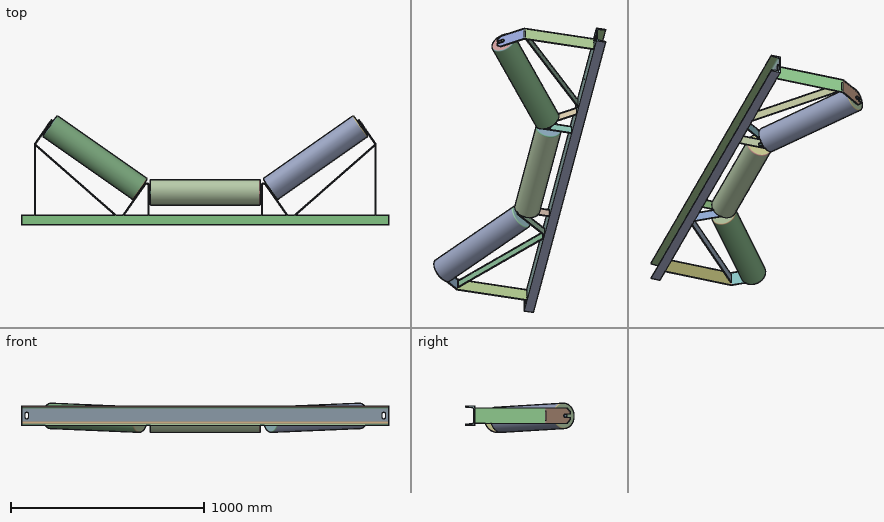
import cadquery as cq
import math


channel_length = 1900.0
channel_height = 100.0
channel_depth = 50.0
web_thickness = 5.0
flange_thickness = 8.5
flange_taper = 0.08
root_radius = 8.5
toe_radius = 4.0

slot_width = 17.0
slot_height = 35.0
slot_end_distance = 27.0

roller_radius = 66.0
roller_length = 570.0
roller_edge_radius = 4.8
axle_diameter = 17.0
centre_axis_y = 118.0
centre_axis_z = -20.0
wing_middle_x = 570.0
wing_middle_y = 298.0
trough_angle = 35.0
forward_tilt = 2.0
wing_axle_outer_overhang = 13.0
wing_axle_inner_overhang = 8.0
axle_slot_length = 76.0
axle_slot_reach = 27.0

plate_thickness = 5.0
outer_bracket_height = 80.0
inner_bracket_height = 50.0
bend_radius = 8.0
outer_post_x = 882.0
outer_bend_y = 367.0
outer_arm_length = 154.0
arm_corner_chamfer = 19.0
inner_post_x = 293.0
inner_foot_x = 424.0
brace_foot_x = 464.0
brace_thickness = 5.0
brace_height = 50.0

inner_bracket_middle_z = (inner_bracket_height - outer_bracket_height) / 2
outer_bend = cq.Vector(outer_post_x, outer_bend_y)
trough = math.radians(trough_angle)
tilt = math.radians(forward_tilt)
arm_direction = cq.Vector(-math.sin(trough), math.cos(trough), 0)
wing_axis = cq.Vector(
    math.cos(trough) * math.cos(tilt),
    math.sin(trough) * math.cos(tilt),
    math.sin(tilt),
)
wing_middle_z = centre_axis_z + roller_length / 2 * math.sin(tilt)
centre_axle_overhang = inner_post_x + plate_thickness / 2 - roller_length / 2


def axle_frame(origin, normal, open_direction):
    """Plane across an axle, with its local Y along the open direction of the axle slot."""
    return cq.Plane(origin=origin, xDir=open_direction.cross(normal), normal=normal)


centre_frame = axle_frame(
    (0, centre_axis_y, centre_axis_z), cq.Vector(-1, 0, 0), cq.Vector(0, 1, 0)
)
wing_frame = axle_frame((wing_middle_x, wing_middle_y, wing_middle_z), wing_axis, arm_direction)


def make_channel():
    half_height = channel_height / 2
    half_taper = flange_taper * (channel_depth - web_thickness) / 2
    toe_z = half_height - flange_thickness + half_taper
    root_z = half_height - flange_thickness - half_taper
    profile = [
        (0, -half_height),
        (0, half_height),
        (-channel_depth, half_height),
        (-channel_depth, toe_z),
        (-web_thickness, root_z),
        (-web_thickness, -root_z),
        (-channel_depth, -toe_z),
        (-channel_depth, -half_height),
    ]
    channel = (
        cq.Workplane("YZ").polyline(profile).close().extrude(channel_length / 2, both=True)
    )
    for z in (-root_z, root_z):
        channel = channel.edges(cq.NearestToPointSelector((0, -web_thickness, z))).fillet(root_radius)
    for z in (-toe_z, toe_z):
        channel = channel.edges(cq.NearestToPointSelector((0, -channel_depth, z))).fillet(toe_radius)
    slot_x = channel_length / 2 - slot_end_distance
    slots = (
        cq.Workplane("XZ")
        .pushPoints([(-slot_x, 0), (slot_x, 0)])
        .slot2D(slot_height, slot_width, 90)
        .extrude(channel_depth)
    )
    return channel.cut(slots)


def make_roller(frame, start_overhang, end_overhang):
    """Roller centred on the frame, its axle standing out at each end along the frame normal."""
    shell = (
        cq.Workplane(frame)
        .workplane(offset=-roller_length / 2)
        .circle(roller_radius)
        .extrude(roller_length)
        .edges("%CIRCLE")
        .fillet(roller_edge_radius)
    )
    axle = (
        cq.Workplane(frame)
        .workplane(offset=-roller_length / 2 - start_overhang)
        .circle(axle_diameter / 2)
        .extrude(start_overhang + roller_length + end_overhang)
    )
    return shell.union(axle)


def make_axle_slot(frame, side):
    """Cutter for the open slot that holds the axle at one end (side +1 or -1) of a roller."""
    slot_radius = axle_diameter / 2
    return (
        cq.Workplane(frame)
        .workplane(offset=side * roller_length / 2)
        .moveTo(slot_radius, 0)
        .lineTo(slot_radius, axle_slot_length)
        .lineTo(-slot_radius, axle_slot_length)
        .lineTo(-slot_radius, 0)
        .threePointArc((0, -slot_radius), (slot_radius, 0))
        .close()
        .extrude(side * axle_slot_reach)
    )


def make_strip(start, bend, end, height):
    """Plate of constant thickness and height, folded once, with its middle line start-bend-end."""
    first = (bend - start).normalized()
    second = (end - bend).normalized()
    turn = math.atan2(first.cross(second).z, first.dot(second))
    half = plate_thickness / 2

    def side_points(offset):
        across_first = cq.Vector(-first.y, first.x) * offset
        across_second = cq.Vector(-second.y, second.x) * offset
        corner = bend + across_first - first * (offset * math.tan(turn / 2))
        return [start + across_first, corner, end + across_second]

    left = side_points(half)
    right = side_points(-half)
    outline = [(p.x, p.y) for p in left + right[::-1]]
    strip = cq.Workplane("XY").polyline(outline).close().extrude(height / 2, both=True)
    inside, outside = (left, right) if turn > 0 else (right, left)
    for corner, radius in (
        (inside[1], bend_radius),
        (outside[1], bend_radius + plate_thickness),
    ):
        strip = strip.edges(cq.NearestToPointSelector((corner.x, corner.y, 0))).fillet(radius)
    return strip


def trim_to_web(plate):
    """Cut away whatever lies in front of the rear face of the channel web."""
    front = cq.Workplane("XY").box(channel_length, channel_depth, channel_height)
    return plate.cut(front.translate((0, -channel_depth / 2, 0)))


def make_outer_bracket():
    tip = outer_bend + arm_direction * outer_arm_length
    bracket = make_strip(cq.Vector(outer_post_x, 0), outer_bend, tip, outer_bracket_height)
    for z in (-outer_bracket_height / 2, outer_bracket_height / 2):
        corner = cq.NearestToPointSelector((tip.x, tip.y, z))
        bracket = bracket.edges(corner).chamfer(arm_corner_chamfer)
    return bracket.cut(make_axle_slot(wing_frame, 1))


def make_inner_bracket():
    apex = cq.Vector(inner_post_x, (inner_foot_x - inner_post_x) / math.tan(trough))
    foot = cq.Vector(inner_foot_x, 0) - arm_direction * plate_thickness
    strip = make_strip(cq.Vector(inner_post_x, 0), apex, foot, inner_bracket_height)
    bracket = trim_to_web(strip.translate((0, 0, inner_bracket_middle_z)))
    return bracket.cut(make_axle_slot(wing_frame, -1)).cut(make_axle_slot(centre_frame, -1))


def make_brace(bracket):
    """Flat bar from the fold of the outer bracket down to the web."""
    foot = cq.Vector(brace_foot_x, 0)
    along = foot - outer_bend
    frame = cq.Plane(origin=outer_bend.toTuple(), xDir=along, normal=(0, 0, 1))
    length = along.Length + brace_thickness
    bar = (
        cq.Workplane(frame)
        .center(length / 2, 0)
        .rect(length, brace_thickness)
        .extrude(brace_height / 2, both=True)
    )
    return trim_to_web(bar).cut(bracket)


channel = make_channel()
centre_roller = make_roller(centre_frame, centre_axle_overhang, centre_axle_overhang)
wing_roller = make_roller(wing_frame, wing_axle_inner_overhang, wing_axle_outer_overhang)
outer_bracket = make_outer_bracket()
inner_bracket = make_inner_bracket()
brace = make_brace(outer_bracket)

bodies = [channel.val(), centre_roller.val()]
for part in (wing_roller, outer_bracket, inner_bracket, brace):
    bodies.append(part.val())
    bodies.append(part.mirror("YZ").val())

result = cq.Compound.makeCompound(bodies)